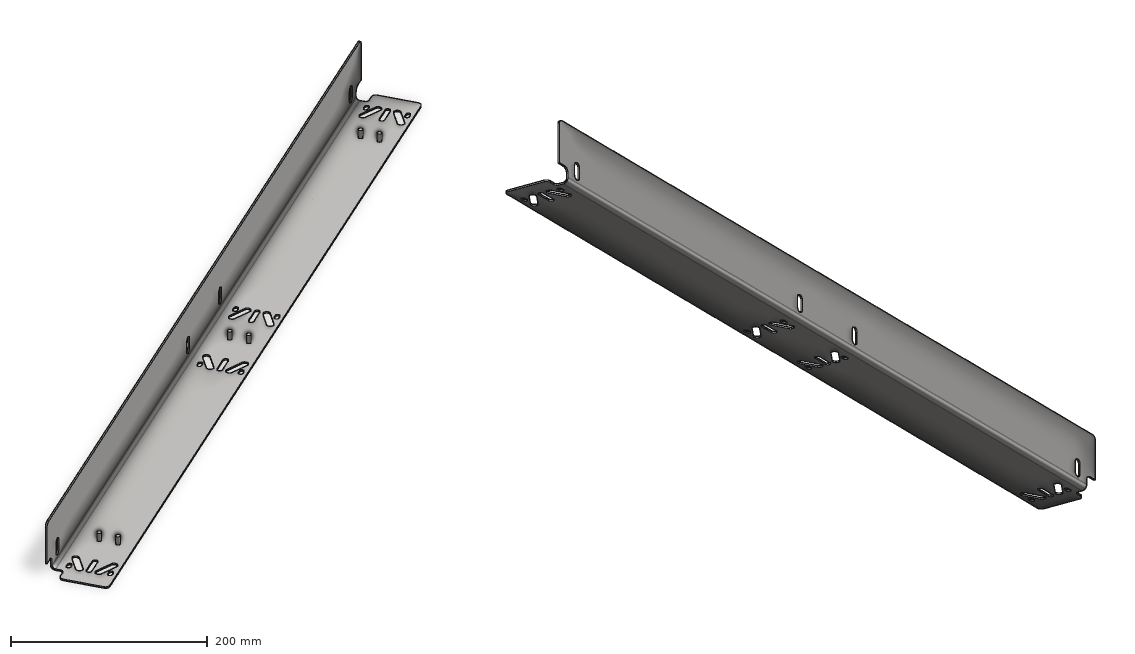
import cadquery as cq

length = 970.0
width = 68.0
height = 65.0
thickness = 2.0
bend_inner_radius = 4.0
bend_outer_radius = bend_inner_radius + thickness
corner_radius = 5.0

notch_length = 16.0
notch_width = 15.0
notch_height = 16.5
wall_notch_radius = 6.0
plate_notch_radius = 4.0

station_outer = 453.0
station_inner = 49.0
cutout_inset = 1.0
group_center_x = 39.0

wall_slot_width = 9.0
wall_slot_bottom = 9.0
wall_slot_top = 28.0

slot_width = 6.0
diagonal_width = 8.0
slot_length = 24.0
diagonal_length = 28.0
diagonal_offset_x = 16.0
diagonal_angle = 60.0
side_slot_offset_x = 22.0
side_slot_offset_y = 7.0
side_slot_width = 5.0
side_slot_length = 9.0

stud_diameter = 5.0
stud_height = 10.0
stud_spacing = 20.0
stud_offset_x = 1.0
stud_pitch = station_outer - station_inner

x_min = -width / 2
z_min = -height / 2
half_length = length / 2


def make_angle():
    """L-shaped bent sheet with rounded free corners."""
    profile = (
        cq.Workplane("XZ", origin=(x_min, half_length, z_min))
        .moveTo(bend_outer_radius, 0)
        .lineTo(width, 0)
        .lineTo(width, thickness)
        .lineTo(bend_outer_radius, thickness)
        .radiusArc((thickness, bend_outer_radius), bend_inner_radius)
        .lineTo(thickness, height)
        .lineTo(0, height)
        .lineTo(0, bend_outer_radius)
        .radiusArc((bend_outer_radius, 0), -bend_outer_radius)
        .close()
    )
    angle = profile.extrude(length)
    angle = angle.faces(">X").edges("|Z").fillet(corner_radius)
    return angle.faces(">Z").edges("|X").fillet(corner_radius)


def make_notch(end):
    """Corner relief at one end: a base cutter plus a wall cutter."""
    y_center = end * half_length
    base = (
        cq.Workplane("XY", origin=(x_min + thickness, y_center, z_min))
        .rect(2 * (notch_width - thickness), 2 * notch_length)
        .extrude(thickness)
        .edges("|Z")
        .fillet(plate_notch_radius)
    )
    wall = (
        cq.Workplane("YZ", origin=(x_min, y_center, z_min + thickness))
        .rect(2 * notch_length, 2 * (notch_height - thickness))
        .extrude(bend_outer_radius)
        .edges("|X")
        .fillet(wall_notch_radius)
    )
    return base.union(wall)


def round_notch_mouths(body):
    """Round the plate corners where each notch opens at the end of the sheet."""
    margin = thickness
    x_mouth = x_min + notch_width
    for end in (-1, 1):
        mouth = cq.selectors.BoxSelector(
            (x_mouth - margin, end * half_length - margin, z_min - margin),
            (x_mouth + margin, end * half_length + margin, z_min + 2 * margin),
        )
        body = body.edges("|Z").edges(mouth).fillet(corner_radius)
    return body


def plate_slot(x, y, slot_size, slot_breadth, angle):
    """Round-ended slot through the base plate, turned by angle from the X direction."""
    return (
        cq.Workplane("XY", origin=(x_min + group_center_x + x, y, z_min))
        .slot2D(slot_size, slot_breadth, angle)
        .extrude(thickness)
    )


def make_cutout_group(y, outward):
    """Straight slot, two splayed slots and two short side slots."""
    cutter = plate_slot(0, y, slot_length, slot_width, 90)
    for side in (-1, 1):
        splay = outward * side * -diagonal_angle
        diagonal = plate_slot(side * diagonal_offset_x, y, diagonal_length, diagonal_width, splay)
        side_slot = plate_slot(
            side * side_slot_offset_x,
            y + outward * side_slot_offset_y,
            side_slot_length,
            side_slot_width,
            90,
        )
        cutter = cutter.union(diagonal).union(side_slot)
    return cutter


def make_wall_slot(y):
    """Upright round-ended slot through the wall."""
    z_center = z_min + (wall_slot_bottom + wall_slot_top) / 2
    return (
        cq.Workplane("YZ", origin=(x_min, y, z_center))
        .slot2D(wall_slot_top - wall_slot_bottom, wall_slot_width, 90)
        .extrude(thickness)
    )


def make_studs():
    """Pairs of round studs standing on the plate at the middle and near both ends."""
    spots = [(side * stud_spacing / 2, row * stud_pitch) for row in (-1, 0, 1) for side in (-1, 1)]
    return (
        cq.Workplane("XY", origin=(x_min + group_center_x + stud_offset_x, 0, z_min))
        .pushPoints(spots)
        .circle(stud_diameter / 2)
        .extrude(thickness + stud_height)
    )


result = make_angle()
for end in (-1, 1):
    result = result.cut(make_notch(end))
result = round_notch_mouths(result)
for end in (-1, 1):
    for station in (end * station_inner, end * station_outer):
        result = result.cut(make_cutout_group(station - end * cutout_inset, end))
        result = result.cut(make_wall_slot(station))
result = result.union(make_studs())